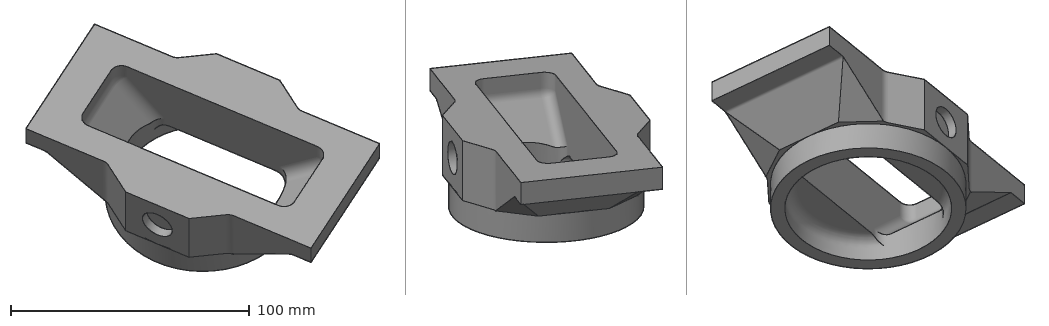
import cadquery as cq
import math

total_height = 40.0
ring_height = 13.0
flange_thickness = 10.0
flange_bottom = total_height - flange_thickness
upper_height = total_height - ring_height

flange_length = 135.0
flange_width = 62.0
ring_diameter = 82.0
ring_radius = ring_diameter / 2
lug_face_length = 30.0
lug_angle = math.radians(35)
lug_root_radius = 5.0

underside_radius = 2.0
end_face_width = 31.0
side_corner_x = 30.1

pocket_length = 100.0
pocket_width = 35.0
pocket_radius = 5.0
sloped_wall_thickness = 6.0
bore_radius = 35.0
bore_depth = 11.0
bore_ceiling_radius = 5.0

pivot_diameter = 14.0
pivot_depth = 4.0
pivot_height = ring_height + upper_height / 2


def make_upper_block():
    """Full-height block with the flange and lug outline."""
    lug_root_x = lug_face_length / 2 + (ring_radius - flange_width / 2) / math.tan(lug_angle)
    block = cq.Workplane("XY").workplane(offset=ring_height).rect(flange_length, flange_width)
    block = block.extrude(upper_height)
    for side in (-1, 1):
        lug = (
            cq.Workplane("XY").workplane(offset=ring_height)
            .polyline([
                (-lug_root_x, 0),
                (-lug_root_x, side * flange_width / 2),
                (-lug_face_length / 2, side * ring_radius),
                (lug_face_length / 2, side * ring_radius),
                (lug_root_x, side * flange_width / 2),
                (lug_root_x, 0),
            ])
            .close()
            .extrude(upper_height)
        )
        block = block.union(lug)
    roots = [
        cq.selectors.NearestToPointSelector((x, y, ring_height + upper_height / 2))
        for x in (-lug_root_x, lug_root_x)
        for y in (-flange_width / 2, flange_width / 2)
    ]
    for root in roots:
        block = block.edges("|Z").edges(root).fillet(lug_root_radius)
    return block


def make_end_relief():
    """Space below the +X end of the flange, bounded by the 45 degree end face."""
    slope_top_x = ring_radius + flange_bottom - ring_height
    outer_x = flange_length / 2
    relief = (
        cq.Workplane("XZ")
        .polyline([
            (ring_radius, ring_height),
            (slope_top_x, flange_bottom),
            (outer_x, flange_bottom),
            (outer_x, ring_height),
        ])
        .close()
        .extrude(flange_width / 2, both=True)
    )
    slope_top = cq.selectors.NearestToPointSelector((slope_top_x, 0, flange_bottom))
    return relief.edges("|Y").edges(slope_top).fillet(underside_radius)


def make_corner_relief():
    """Tetrahedron cut from the (+X, +Y) lower corner of the tapered body."""
    side_y = flange_width / 2
    end = cq.Vector(ring_radius, end_face_width / 2, ring_height)
    top = cq.Vector(ring_radius + flange_bottom - ring_height, side_y, flange_bottom)
    side = cq.Vector(side_corner_x, side_y, ring_height)
    corner = cq.Vector(ring_radius, side_y, ring_height)
    triangles = [(end, top, side), (end, side, corner), (end, corner, top), (side, top, corner)]
    faces = [
        cq.Face.makeFromWires(cq.Wire.makePolygon([a, b, c, a]))
        for a, b, c in triangles
    ]
    return cq.Workplane(obj=cq.Solid.makeSolid(cq.Shell.makeShell(faces)))


def make_pocket():
    """Rectangular pocket whose ends slope inwards, parallel to the outer end faces."""
    half_length = pocket_length / 2
    slope_shift = ring_radius - ring_height - sloped_wall_thickness * math.sqrt(2)
    slope_top = half_length - slope_shift
    floor_x = bore_depth + slope_shift
    pocket = (
        cq.Workplane("XZ")
        .polyline([
            (-floor_x, bore_depth),
            (-half_length, slope_top),
            (-half_length, total_height),
            (half_length, total_height),
            (half_length, slope_top),
            (floor_x, bore_depth),
        ])
        .close()
        .extrude(pocket_width / 2, both=True)
    )
    end_edges = pocket.faces("<X or >X").edges("not >Z")
    slope_mid_x = (half_length + floor_x) / 2
    slope_mid_z = (slope_top + bore_depth) / 2
    for x in (-slope_mid_x, slope_mid_x):
        for y in (-pocket_width / 2, pocket_width / 2):
            nearest = cq.selectors.NearestToPointSelector((x, y, slope_mid_z))
            end_edges = end_edges.add(pocket.edges(nearest))
    return end_edges.fillet(pocket_radius)


def make_opening():
    """Vertical passage through the whole height, with round ends matching the bore."""
    slot = cq.Workplane("XY").rect(pocket_length, pocket_width).extrude(total_height)
    opening = cq.Workplane("XY").circle(bore_radius).extrude(total_height).intersect(slot)
    corner_x = math.sqrt(bore_radius**2 - (pocket_width / 2)**2)
    for x in (-corner_x, corner_x):
        for y in (-pocket_width / 2, pocket_width / 2):
            nearest = cq.selectors.NearestToPointSelector((x, y, total_height / 2))
            opening = opening.edges("|Z").edges(nearest).fillet(pocket_radius)
    return opening


def make_bore():
    """Round bore from below with a filleted ceiling."""
    bore = cq.Workplane("XY").circle(bore_radius).extrude(bore_depth)
    return bore.faces(">Z").edges().fillet(bore_ceiling_radius)


def make_pivot_hole():
    """Blind hole in the -Y lug face."""
    return (
        cq.Workplane("XZ", origin=(0, -ring_radius, pivot_height))
        .circle(pivot_diameter / 2)
        .extrude(-pivot_depth)
    )


body = make_upper_block()
for relief in (make_end_relief(), make_corner_relief(), make_corner_relief().mirror("XZ")):
    body = body.cut(relief).cut(relief.mirror("YZ"))

ring = cq.Workplane("XY").circle(ring_radius).extrude(ring_height)
body = body.union(ring)

body = body.cut(make_pocket()).cut(make_opening()).cut(make_bore())

pivot_hole = make_pivot_hole()
result = body.cut(pivot_hole).cut(pivot_hole.mirror("XZ"))